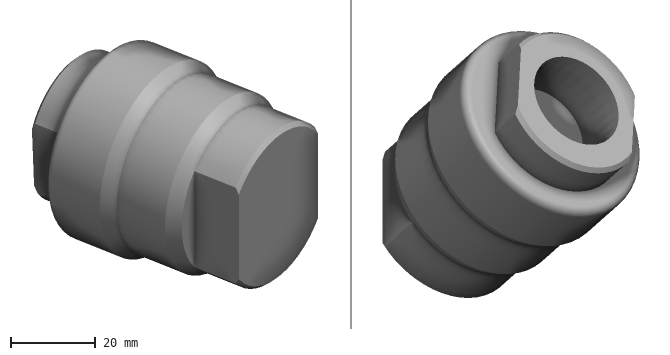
import cadquery as cq
import math

total_length = 60.0

inlet_diameter = 38.0
inlet_length = 10.0
inlet_flat_angle = 3.0

collar_diameter = 50.0
collar_round = 2.0
collar_cone_start = 26.0
waist_diameter = 46.0
outlet_diameter = 42.0
outlet_length = 13.0
cone_half_angle = 30.0

end_chamfer = 1.0
across_flats = 32.0

bore_mouth_diameter = 23.7
bore_floor_diameter = 22.7
taper_depth = 12.0
bore_depth = 15.0

collar_radius = collar_diameter / 2
waist_radius = waist_diameter / 2
outlet_radius = outlet_diameter / 2
inlet_radius = inlet_diameter / 2

outlet_start = total_length - outlet_length


def cone_length(large_radius, small_radius):
    """Axial length of a cone between two radii."""
    return (large_radius - small_radius) / math.tan(math.radians(cone_half_angle))


def revolve_about_x(profile):
    """Turn a closed X-radius profile about the X axis."""
    return profile.close().revolve(360, (0, 0, 0), (1, 0, 0))


def turned_body():
    collar_cone_end = collar_cone_start + cone_length(collar_radius, waist_radius)
    waist_cone_start = outlet_start - cone_length(waist_radius, outlet_radius)
    round_midpoint = collar_round * (1 - math.sqrt(0.5))
    profile = (
        cq.Workplane("XY")
        .moveTo(0, 0)
        .lineTo(0, inlet_radius - end_chamfer)
        .lineTo(end_chamfer, inlet_radius)
        .lineTo(inlet_length, inlet_radius)
        .lineTo(inlet_length, collar_radius - collar_round)
        .threePointArc(
            (inlet_length + round_midpoint, collar_radius - round_midpoint),
            (inlet_length + collar_round, collar_radius),
        )
        .lineTo(collar_cone_start, collar_radius)
        .lineTo(collar_cone_end, waist_radius)
        .lineTo(waist_cone_start, waist_radius)
        .lineTo(outlet_start, outlet_radius)
        .lineTo(total_length - end_chamfer, outlet_radius)
        .lineTo(total_length, outlet_radius - end_chamfer)
        .lineTo(total_length, 0)
    )
    return revolve_about_x(profile)


def flats_cutter(start, length, angle):
    """Material outside two parallel flats, over one stretch of the X axis."""
    outer = cq.Workplane("YZ", origin=(start, 0, 0)).rect(collar_diameter, collar_diameter).extrude(length)
    kept = cq.Workplane("YZ", origin=(start, 0, 0)).rect(across_flats, collar_diameter).extrude(length)
    return outer.cut(kept).rotate((0, 0, 0), (1, 0, 0), angle)


def inlet_bore():
    profile = (
        cq.Workplane("XY")
        .moveTo(0, 0)
        .lineTo(0, bore_mouth_diameter / 2)
        .lineTo(taper_depth, bore_floor_diameter / 2)
        .lineTo(bore_depth, bore_floor_diameter / 2)
        .lineTo(bore_depth, 0)
    )
    return revolve_about_x(profile)


inlet_flats = flats_cutter(0, inlet_length, inlet_flat_angle)
outlet_flats = flats_cutter(outlet_start, outlet_length, 0)

result = turned_body().cut(inlet_flats).cut(outlet_flats).cut(inlet_bore())